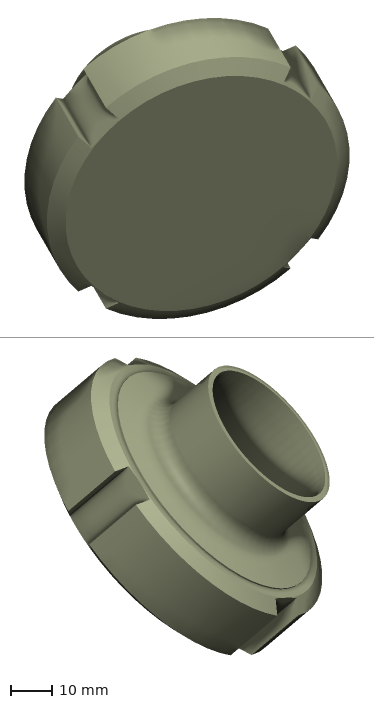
import cadquery as cq
import math

total_length = 40.5

tube_radius = 41 / 2
bore_radius = 38 / 2
bore_depth = 26.0

flange_radius = 65 / 2
flange_edge_x = 19.1
cone_angle = math.radians(10)
root_fillet_radius = 4.0

nut_radius = 78 / 2
nut_length = 21.0
nut_start_x = total_length - nut_length
nut_face_radius = 35.0
nut_chamfer_angle = math.radians(30)
nut_chamfer_height = nut_radius - nut_face_radius
nut_chamfer_length = nut_chamfer_height * math.tan(nut_chamfer_angle)

slot_count = 4
slot_width = 10.0
slot_floor_distance = 35.0
first_slot_angle = 45.0


def revolve_about_x(profile):
    """Revolve a closed (x, radius) profile drawn on the XY plane about the X axis."""
    return profile.close().revolve(360, (0, 0, 0), (1, 0, 0))


def make_tube_and_flange():
    """Tube blending through a fillet, tangent to both, into the conical flange."""
    fillet_center_radius = tube_radius + root_fillet_radius
    cone_start_radius = fillet_center_radius - root_fillet_radius * math.sin(cone_angle)
    cone_start_x = flange_edge_x - (flange_radius - cone_start_radius) * math.tan(cone_angle)
    fillet_start_x = cone_start_x - root_fillet_radius * math.cos(cone_angle)

    mid_angle = (math.pi / 2 + cone_angle) / 2
    fillet_mid = (
        fillet_start_x + root_fillet_radius * math.cos(mid_angle),
        fillet_center_radius - root_fillet_radius * math.sin(mid_angle),
    )
    profile = (
        cq.Workplane("XY")
        .moveTo(0, 0)
        .lineTo(0, tube_radius)
        .lineTo(fillet_start_x, tube_radius)
        .threePointArc(fillet_mid, (cone_start_x, cone_start_radius))
        .lineTo(flange_edge_x, flange_radius)
        .lineTo(total_length, flange_radius)
        .lineTo(total_length, 0)
    )
    return revolve_about_x(profile)


def make_nut():
    """Round nut body with the same chamfer on both faces."""
    profile = (
        cq.Workplane("XY")
        .moveTo(nut_start_x, 0)
        .lineTo(nut_start_x, nut_face_radius)
        .lineTo(nut_start_x + nut_chamfer_length, nut_radius)
        .lineTo(total_length - nut_chamfer_length, nut_radius)
        .lineTo(total_length, nut_face_radius)
        .lineTo(total_length, 0)
    )
    return revolve_about_x(profile)


def make_slot_cutter(angle):
    """Block that cuts one flat-floored slot through the full length of the nut rim."""
    return (
        cq.Workplane("XY")
        .box(nut_length, slot_width, nut_radius, centered=(False, True, False))
        .translate((nut_start_x, 0, slot_floor_distance))
        .rotate((0, 0, 0), (1, 0, 0), angle)
    )


def make_bore():
    """Blind bore entering from the open end of the tube."""
    return cq.Workplane("YZ").circle(bore_radius).extrude(bore_depth)


nut = make_nut()
for slot_index in range(slot_count):
    slot_angle = first_slot_angle + slot_index * 360 / slot_count
    nut = nut.cut(make_slot_cutter(slot_angle))

result = make_tube_and_flange().union(nut).cut(make_bore())